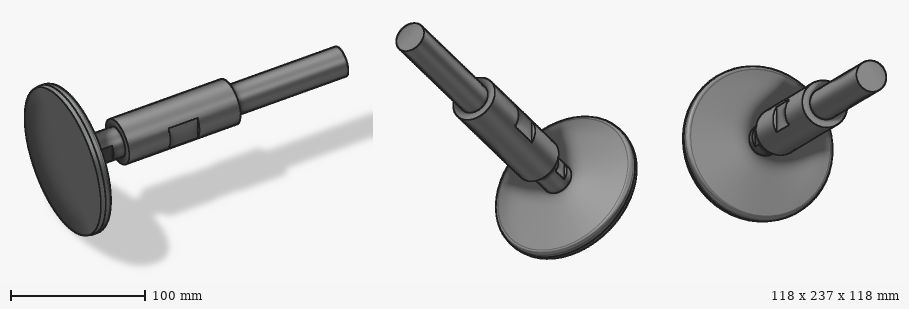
import cadquery as cq
import math

overall_length = 237.0

pad_underside_diameter = 116.5
pad_diameter = 118.0
pad_height = 3.8

foot_diameter = 117.8
foot_rim_end = 6.9
foot_shoulder_height = 9.7
foot_shoulder_radius = 56.0
foot_shoulder_bulge = 0.7
foot_height = 17.3
foot_top_diameter = 24.2

rod_diameter = 24.0
rod_flats_width = 19.2
rod_flats_length = 12.8
rod_flats_start = 24.0

sleeve_diameter = 36.0
sleeve_length = 95.0
sleeve_start = 46.7
sleeve_flats_width = 30.3
sleeve_flats_length = 25.0

foot_radius = foot_diameter / 2


def cylinder_along_y(diameter, start, length):
    """Round bar on the Y axis, from start to start + length."""
    return (
        cq.Workplane("XZ", origin=(0, start, 0))
        .circle(diameter / 2)
        .extrude(-length)
    )


def cut_flats(body, body_diameter, flats_width, start, length):
    """Cut two opposite spanner flats, facing -X and +X."""
    cutter_depth = body_diameter / 2
    for side in (-1, 1):
        cutter = cq.Workplane("XY").box(cutter_depth, length, body_diameter)
        offset = side * (flats_width + cutter_depth) / 2
        body = body.cut(cutter.translate((offset, start + length / 2, 0)))
    return body


def make_pad():
    """Disc with a tapered side, wider at the top."""
    return (
        cq.Workplane("XY")
        .lineTo(pad_underside_diameter / 2, 0)
        .lineTo(pad_diameter / 2, pad_height)
        .lineTo(0, pad_height)
        .close()
        .revolve(360, (0, 0, 0), (0, 1, 0))
    )


def make_foot():
    """Shallow cone with an upright rim and a rounded shoulder, seated on the pad."""
    bulge_component = foot_shoulder_bulge / math.sqrt(2)
    arc_middle = (
        (foot_radius + foot_shoulder_radius) / 2 + bulge_component,
        (foot_rim_end + foot_shoulder_height) / 2 + bulge_component,
    )
    return (
        cq.Workplane("XY")
        .moveTo(0, pad_height)
        .lineTo(foot_radius, pad_height)
        .lineTo(foot_radius, foot_rim_end)
        .threePointArc(arc_middle, (foot_shoulder_radius, foot_shoulder_height))
        .lineTo(foot_top_diameter / 2, foot_height)
        .lineTo(0, foot_height)
        .close()
        .revolve(360, (0, 0, 0), (0, 1, 0))
    )


def make_rod():
    """Full-length rod above the foot, with spanner flats near its lower end."""
    rod = cylinder_along_y(rod_diameter, foot_height, overall_length - foot_height)
    return cut_flats(rod, rod_diameter, rod_flats_width, rod_flats_start, rod_flats_length)


def make_sleeve():
    """Thick middle stretch of the spindle, with spanner flats at mid-length."""
    sleeve = cylinder_along_y(sleeve_diameter, sleeve_start, sleeve_length)
    flats_start = sleeve_start + (sleeve_length - sleeve_flats_length) / 2
    return cut_flats(sleeve, sleeve_diameter, sleeve_flats_width, flats_start, sleeve_flats_length)


def make_spindle():
    """Foot, rod and sleeve in one piece."""
    return make_foot().union(make_rod()).union(make_sleeve())


pad = make_pad()
spindle = make_spindle()

result = cq.Compound.makeCompound([pad.val(), spindle.val()])